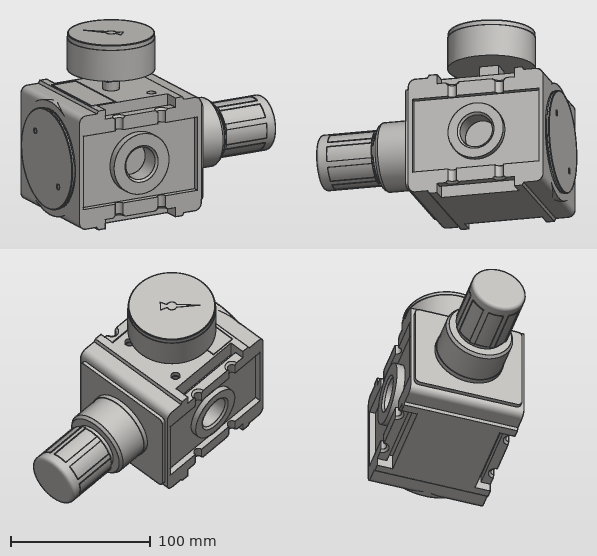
import cadquery as cq
import math


BLOCK_SIDE = 85.0
BLOCK_LENGTH = 100.0
BLOCK_EDGE_RADIUS = 5.3
HALF_SIDE = BLOCK_SIDE / 2
HALF_LENGTH = BLOCK_LENGTH / 2
NOSE_DIAMETER = 84.8

PAD_TOP = 44.5
PAD_HALF_LENGTH = 34.5
PAD_FLANK_RUN = 1.2

LABEL_WIDTH = 58.0
LABEL_FRONT = -32.5
LABEL_BACK = -12.6
LABEL_DEPTH = 0.5
TOP_HOLE_X = 22.6
TOP_HOLE_Y = 20.3
TOP_HOLE_DIAMETER = 5.0
TOP_COUNTERBORE_DIAMETER = 6.5
TOP_COUNTERBORE_DEPTH = 3.5
TOP_HOLE_DEPTH = 7.1

POCKET_BACK = 28.7
POCKET_FRONT = -28.9
POCKET_WIDTH = 11.5
POCKET_LIP_WIDTH = 7.1
POCKET_LIP_Z = 37.5
POCKET_GROOVE_Z = 31.3

SCREW_Y = 17.5
SCREW_DIAMETER = 6.5
SCREW_RIM_DIAMETER = 10.0
SCREW_RIM_DEPTH = 1.6

RECESS_LENGTH = 94.0
RECESS_HEIGHT = 54.9
RECESS_DEPTH = 4.5
PORT_BOSS_DIAMETER = 41.0
OUTLET_BOSS_DIAMETER = 45.0
OUTLET_PROJECTION = 1.6
PORT_DIAMETER = 24.0
PORT_RIM_DIAMETER = 27.2
PORT_RIM_DEPTH = 1.6
PORT_DEPTH = 16.0

CAP_NECK_DIAMETER = 61.3
CAP_NECK_END_DIAMETER = 60.0
CAP_NECK_LENGTH = 1.2
CAP_DIAMETER = 73.9
CAP_SEAT_DIAMETER = 73.0
CAP_SEAT_DEPTH = 0.9
CAP_THICKNESS = 1.8
CAP_CHAMFER = 0.5
PIN_HOLE_OFFSET = 16.5
PIN_HOLE_DIAMETER = 3.2
PIN_HOLE_RIM_DIAMETER = 4.3
PIN_HOLE_DEPTH = 1.8

PLATE_WIDTH = 80.1
PLATE_HEIGHT = 73.9
PLATE_THICKNESS = 2.7
PLATE_CORNER_RADIUS = 4.0

FLANGE_DIAMETER = 51.0
FLANGE_END = 56.1
BONNET_DIAMETER = 50.0
BONNET_END = 80.1
BONNET_CHAMFER_LENGTH = 2.3
BONNET_CHAMFER_HEIGHT = 1.6
NECK_DIAMETER = 35.0
COLLAR_DIAMETER = 36.2
COLLAR_START = 83.2
KNOB_START = 84.0
KNOB_DIAMETER = 40.0
KNOB_END = 125.0
KNOB_EDGE_RADIUS = 2.7
FLUTE_COUNT = 8
FLUTE_HALF_ANGLE = 16.5
FLUTE_END = 117.0
FLUTE_FLOOR_DIAMETER = 38.8

STEM_DIAMETER = 12.0
SQUARE_SIDE = 14.0
SQUARE_BOTTOM = 52.0
DIAL_BOTTOM = 59.7
DIAL_TOP = 86.5
DIAL_DIAMETER = 63.0
BEZEL_DIAMETER = 62.3
BEZEL_HEIGHT = 3.7
BEZEL_CHAMFER = 0.5
POINTER_ANGLE = 225
POINTER_HUB_DIAMETER = 7.3
POINTER_REACH = 20.3
POINTER_WAIST = 2.7
POINTER_TAIL_LENGTH = 8.2
POINTER_TAIL_WIDTH = 7.3
POINTER_DEPTH = 0.2


def box(x_range, y_range, z_range):
    """Box between two limits along each axis."""
    lows = [min(r) for r in (x_range, y_range, z_range)]
    sizes = [abs(r[1] - r[0]) for r in (x_range, y_range, z_range)]
    return cq.Workplane("XY").box(*sizes, centered=False).translate(tuple(lows))


def cylinder_y(diameter, y_start, y_end):
    """Cylinder on the Y axis."""
    solid = cq.Solid.makeCylinder(
        diameter / 2, y_end - y_start, cq.Vector(0, y_start, 0), cq.Vector(0, 1, 0)
    )
    return cq.Workplane(solid)


def countersunk_cutter(point, direction, diameter, rim_diameter, rim_depth, depth):
    """Drill shape that starts at a point, with a conical rim."""
    axis = cq.Vector(*direction)
    start = cq.Vector(*point)
    drill = cq.Solid.makeCylinder(diameter / 2, depth, start, axis)
    rim = cq.Solid.makeCone(rim_diameter / 2, diameter / 2, rim_depth, start, axis)
    return cq.Workplane(drill).union(cq.Workplane(rim))


def block():
    body = cq.Workplane("XY").box(BLOCK_SIDE, BLOCK_LENGTH, BLOCK_SIDE)
    body = body.edges("|X").fillet(BLOCK_EDGE_RADIUS)
    pad_base = PAD_HALF_LENGTH + PAD_FLANK_RUN
    pads = (
        cq.Workplane("YZ")
        .polyline([
            (-pad_base, -HALF_SIDE),
            (-PAD_HALF_LENGTH, -PAD_TOP),
            (PAD_HALF_LENGTH, -PAD_TOP),
            (pad_base, -HALF_SIDE),
            (pad_base, HALF_SIDE),
            (PAD_HALF_LENGTH, PAD_TOP),
            (-PAD_HALF_LENGTH, PAD_TOP),
            (-pad_base, HALF_SIDE),
        ])
        .close()
        .extrude(HALF_SIDE, both=True)
    )
    return body.union(pads).union(cylinder_y(NOSE_DIAMETER, -HALF_LENGTH, 0))


def side_recess(side, boss_diameter):
    """Rectangular recess around the port boss; side is -1 or +1 along X."""
    depth_range = (side * (HALF_SIDE - RECESS_DEPTH), side * HALF_SIDE)
    recess = box(
        depth_range,
        (-RECESS_LENGTH / 2, RECESS_LENGTH / 2),
        (-RECESS_HEIGHT / 2, RECESS_HEIGHT / 2),
    )
    boss = cq.Workplane("YZ", origin=(min(depth_range), 0, 0)).circle(boss_diameter / 2)
    return recess.cut(boss.extrude(RECESS_DEPTH))


def clamp_pocket(side, level):
    """Pocket with a deeper inner groove; side and level are -1 or +1 along X and Z."""
    lip_x = side * (HALF_SIDE - POCKET_LIP_WIDTH)
    inner_x = side * (HALF_SIDE - POCKET_WIDTH)
    y_range = (POCKET_FRONT, POCKET_BACK)
    pocket = box((inner_x, side * HALF_SIDE), y_range, (level * POCKET_LIP_Z, level * PAD_TOP))
    groove = box((inner_x, lip_x), y_range, (level * POCKET_GROOVE_Z, level * PAD_TOP))
    cutter = pocket.union(groove)
    for y in (-SCREW_Y, SCREW_Y):
        cutter = cutter.union(countersunk_cutter(
            (side * HALF_SIDE, y, level * POCKET_LIP_Z),
            (0, 0, -level),
            SCREW_DIAMETER,
            SCREW_RIM_DIAMETER,
            SCREW_RIM_DEPTH,
            POCKET_LIP_Z - RECESS_HEIGHT / 2,
        ))
    return cutter


def port(side, face_x):
    return countersunk_cutter(
        (side * face_x, 0, 0), (-side, 0, 0), PORT_DIAMETER, PORT_RIM_DIAMETER, PORT_RIM_DEPTH, PORT_DEPTH
    )


def top_details():
    """Label recess and two counterbored holes in the top pad."""
    cutter = box(
        (-LABEL_WIDTH / 2, LABEL_WIDTH / 2), (LABEL_FRONT, LABEL_BACK), (PAD_TOP - LABEL_DEPTH, PAD_TOP)
    )
    for x in (-TOP_HOLE_X, TOP_HOLE_X):
        hole = cq.Workplane("XY", origin=(x, TOP_HOLE_Y, PAD_TOP))
        cutter = cutter.union(hole.circle(TOP_HOLE_DIAMETER / 2).extrude(-TOP_HOLE_DEPTH))
        cutter = cutter.union(hole.circle(TOP_COUNTERBORE_DIAMETER / 2).extrude(-TOP_COUNTERBORE_DEPTH))
    return cutter


def cap_seat():
    """Ring-shaped recess in the front face, around the neck of the cap."""
    seat_floor = -HALF_LENGTH + CAP_SEAT_DEPTH
    seat = cylinder_y(CAP_SEAT_DIAMETER, -HALF_LENGTH, seat_floor)
    return seat.cut(cylinder_y(CAP_NECK_DIAMETER, -HALF_LENGTH, seat_floor))


def front_cap():
    neck_end = -HALF_LENGTH - CAP_NECK_LENGTH
    face = neck_end - CAP_THICKNESS
    disc = cylinder_y(CAP_DIAMETER, face, neck_end).faces("<Y").chamfer(CAP_CHAMFER)
    neck = cq.Solid.makeCone(
        CAP_NECK_DIAMETER / 2,
        CAP_NECK_END_DIAMETER / 2,
        CAP_NECK_LENGTH,
        cq.Vector(0, -HALF_LENGTH, 0),
        cq.Vector(0, -1, 0),
    )
    cap = disc.union(cq.Workplane(neck))
    rim_depth = (PIN_HOLE_RIM_DIAMETER - PIN_HOLE_DIAMETER) / 2
    for sign in (-1, 1):
        cap = cap.cut(countersunk_cutter(
            (sign * PIN_HOLE_OFFSET, face, -sign * PIN_HOLE_OFFSET), (0, 1, 0),
            PIN_HOLE_DIAMETER, PIN_HOLE_RIM_DIAMETER, rim_depth, PIN_HOLE_DEPTH,
        ))
    return cap


def back_plate():
    return (
        cq.Workplane("XY")
        .box(PLATE_WIDTH, PLATE_THICKNESS, PLATE_HEIGHT)
        .edges("|Y")
        .fillet(PLATE_CORNER_RADIUS)
        .translate((0, HALF_LENGTH + PLATE_THICKNESS / 2, 0))
    )


def bonnet():
    flange = cylinder_y(FLANGE_DIAMETER, HALF_LENGTH, FLANGE_END)
    sleeve = cylinder_y(BONNET_DIAMETER, FLANGE_END, BONNET_END)
    sleeve = sleeve.faces(">Y").chamfer(BONNET_CHAMFER_LENGTH, BONNET_CHAMFER_HEIGHT)
    neck = cylinder_y(NECK_DIAMETER, BONNET_END, COLLAR_START)
    collar = cylinder_y(COLLAR_DIAMETER, COLLAR_START, KNOB_START)
    return flange.union(sleeve).union(neck).union(collar)


def flute(angle):
    """Shallow grip panel in the knob, centred at an angle about Y."""
    reach = KNOB_DIAMETER
    spread = reach * math.tan(math.radians(FLUTE_HALF_ANGLE))
    wedge = (
        cq.Workplane("XZ", origin=(0, KNOB_START, 0))
        .polyline([(0, 0), (reach, spread), (reach, -spread)])
        .close()
        .extrude(KNOB_START - FLUTE_END)
        .cut(cylinder_y(FLUTE_FLOOR_DIAMETER, KNOB_START, FLUTE_END))
    )
    return wedge.rotate((0, 0, 0), (0, 1, 0), angle)


def knob():
    grip = cylinder_y(KNOB_DIAMETER, KNOB_START, KNOB_END).faces(">Y").edges().fillet(KNOB_EDGE_RADIUS)
    for index in range(FLUTE_COUNT):
        grip = grip.cut(flute(index * 360 / FLUTE_COUNT))
    return grip


def make_regulator():
    """Housing with its cap, bonnet and knob as one solid."""
    body = block().cut(side_recess(-1, PORT_BOSS_DIAMETER)).cut(side_recess(1, OUTLET_BOSS_DIAMETER))
    outlet = cq.Workplane("YZ", origin=(HALF_SIDE, 0, 0)).circle(OUTLET_BOSS_DIAMETER / 2)
    body = body.union(outlet.extrude(OUTLET_PROJECTION))
    for side in (-1, 1):
        for level in (-1, 1):
            body = body.cut(clamp_pocket(side, level))
    body = body.cut(port(-1, HALF_SIDE)).cut(port(1, HALF_SIDE + OUTLET_PROJECTION))
    body = body.cut(top_details()).cut(cap_seat())
    return body.union(front_cap()).union(back_plate()).union(bonnet()).union(knob())


def pointer():
    """Dial pointer, sunk slightly into the dial face."""
    half_waist = POINTER_WAIST / 2
    half_tail = POINTER_TAIL_WIDTH / 2
    face = cq.Workplane("XY", origin=(0, 0, DIAL_TOP))
    hub = face.circle(POINTER_HUB_DIAMETER / 2).extrude(-POINTER_DEPTH)
    hub_edge = math.sqrt((POINTER_HUB_DIAMETER / 2) ** 2 - half_waist ** 2)
    needle = face.polyline([
        (POINTER_REACH, 0),
        (hub_edge, half_waist),
        (-hub_edge, half_waist),
        (-POINTER_TAIL_LENGTH, half_tail),
        (-POINTER_TAIL_LENGTH, -half_tail),
        (-hub_edge, -half_waist),
        (hub_edge, -half_waist),
    ]).close().extrude(-POINTER_DEPTH)
    return hub.union(needle).rotate((0, 0, 0), (0, 0, 1), POINTER_ANGLE)


def make_gauge():
    """Stem standing on the top pad, square spanner section, round case and bezel."""
    stem = (
        cq.Workplane("XY", origin=(0, 0, PAD_TOP))
        .circle(STEM_DIAMETER / 2)
        .extrude(SQUARE_BOTTOM - PAD_TOP)
    )
    flats = (
        cq.Workplane("XY", origin=(0, 0, SQUARE_BOTTOM))
        .rect(SQUARE_SIDE, SQUARE_SIDE)
        .extrude(DIAL_BOTTOM - SQUARE_BOTTOM)
    )
    bezel_start = DIAL_TOP - BEZEL_HEIGHT
    case = (
        cq.Workplane("XY", origin=(0, 0, DIAL_BOTTOM))
        .circle(DIAL_DIAMETER / 2)
        .extrude(bezel_start - DIAL_BOTTOM)
    )
    bezel = (
        cq.Workplane("XY", origin=(0, 0, bezel_start))
        .circle(BEZEL_DIAMETER / 2)
        .extrude(BEZEL_HEIGHT)
        .faces(">Z")
        .chamfer(BEZEL_CHAMFER)
    )
    return stem.union(flats).union(case).union(bezel).cut(pointer())


regulator = make_regulator()
gauge = make_gauge()
result = cq.Compound.makeCompound([regulator.val(), gauge.val()])